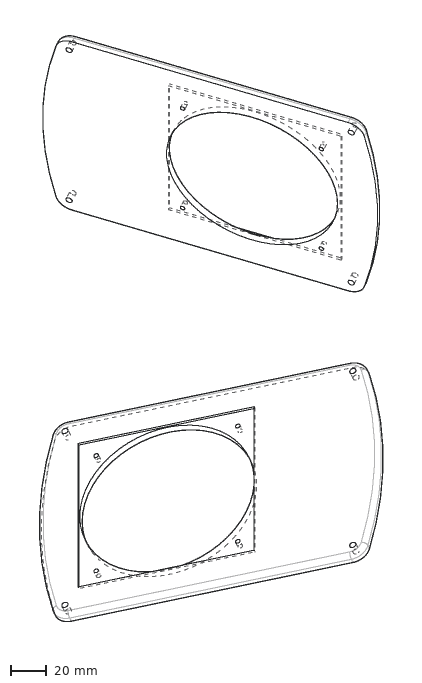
import cadquery as cq

length = 200.0
height = 140.0
thickness = 6.0
side_bulge = 10.0
corner_radius = 10.0
back_edge_radius = 3.0

opening_x = 25.0
opening_diameter = 102.0
opening_hole_spacing = 82.8
opening_hole_diameter = 2.5

recess_side = 103.0
recess_depth = 1.5

mount_spacing_x = 168.4
mount_spacing_z = 124.8
mount_hole_diameter = 3.5

half_length = length / 2
half_height = height / 2
corner_x = half_length - side_bulge
front_y = -thickness / 2


def front_plane(x=0):
    """Sketch plane on the front face, facing -Y, centred at x."""
    return cq.Workplane("XZ", origin=(x, front_y, 0))


def make_plate():
    """Bowed plate with rounded corners and a rounded back rim."""
    plate = (
        front_plane()
        .moveTo(-corner_x, -half_height)
        .lineTo(corner_x, -half_height)
        .threePointArc((half_length, 0), (corner_x, half_height))
        .lineTo(-corner_x, half_height)
        .threePointArc((-half_length, 0), (-corner_x, -half_height))
        .close()
        .extrude(-thickness)
    )
    plate = plate.edges("|Y").fillet(corner_radius)
    return plate.faces(">Y").edges().fillet(back_edge_radius)


def hole_pattern(center_x, spacing_x, spacing_z, diameter):
    """Cutters for four through holes at the corners of a rectangle."""
    return (
        front_plane(center_x)
        .rect(spacing_x, spacing_z, forConstruction=True)
        .vertices()
        .circle(diameter / 2)
        .extrude(-thickness)
    )


opening = front_plane(opening_x).circle(opening_diameter / 2).extrude(-thickness)
recess = (
    front_plane(opening_x)
    .workplane(offset=-thickness)
    .rect(recess_side, recess_side)
    .extrude(recess_depth)
)
opening_holes = hole_pattern(opening_x, opening_hole_spacing, opening_hole_spacing, opening_hole_diameter)
mount_holes = hole_pattern(0, mount_spacing_x, mount_spacing_z, mount_hole_diameter)

result = make_plate().cut(opening).cut(recess).cut(opening_holes).cut(mount_holes)